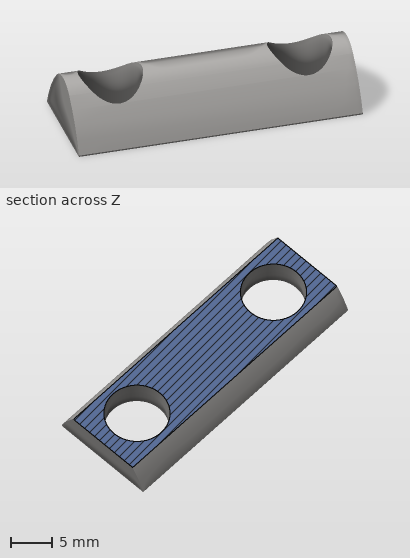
import cadquery as cq
import math

length = 36.0
width = 13.8
height = 7.3

crown_radius = 4.0
crown_half_width = 2.65

undercut_height = 0.2
undercut_inset = 0.07

hole_diameter = 8.0
hole_spacing = 24.0

half_width = width / 2
crown_angle = math.asin(crown_half_width / crown_radius)
shoulder_height = height - crown_radius * (1 - math.cos(crown_angle))


def make_bar():
    """Extrude the domed profile along the full length, centred on Y."""
    flank_start = (crown_half_width, shoulder_height)
    right_half = (
        cq.Workplane("XZ")
        .moveTo(0, 0)
        .lineTo(0, height)
        .radiusArc(flank_start, crown_radius)
        .tangentArcPoint((half_width, undercut_height), relative=False)
        .lineTo(half_width - undercut_inset, 0)
        .close()
        .extrude(length / 2, both=True)
    )
    return right_half.union(right_half.mirror("YZ"))


def make_holes():
    """Cylinders for the holes, tall enough to pass through the bar."""
    return (
        cq.Workplane("XY")
        .pushPoints([(0, -hole_spacing / 2), (0, hole_spacing / 2)])
        .circle(hole_diameter / 2)
        .extrude(height)
    )


result = make_bar().cut(make_holes())